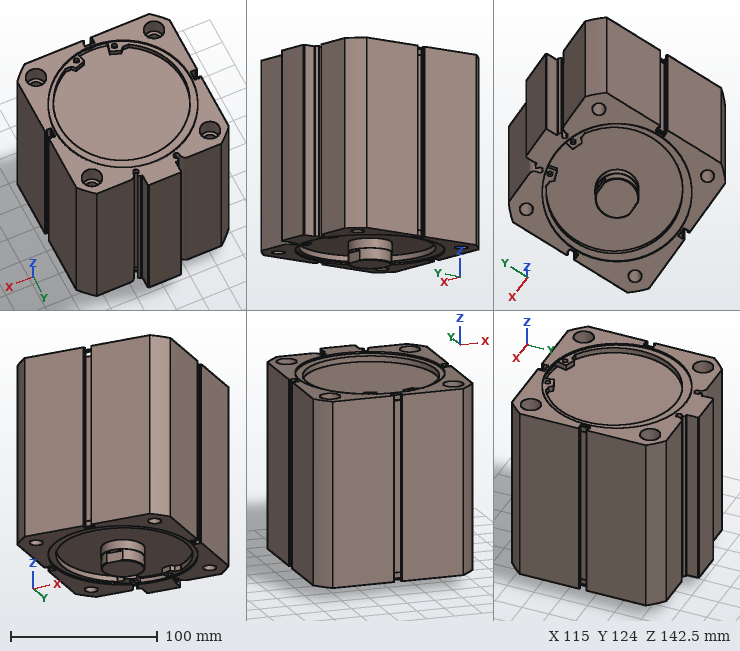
import cadquery as cq
import math


body_width = 115.0
half_width = body_width / 2
body_height = 132.5
corner_flat = 47.0
corner_radius = math.hypot(half_width, corner_flat)
bore_radius = 51.0

bolt_spacing = 89.0
bolt_diameter = 9.0
counterbore_diameter = 14.0
counterbore_depth = 13.0

slot_mouth = 5.0
slot_inner_width = 7.0
slot_depth = 4.8
slot_lip = 1.5
mouth_chamfer = 0.5

rail_half_width = 12.6
rail_top = 66.5
rail_chamfer = 0.7
groove_outer_x = 17.3
groove_bottom_radius = 2.0
groove_center_y = 53.0
groove_shoulder_radius = 4.4

ring_radius = 53.0
ring_inner_radius = 46.6
ring_inner_offset = 2.2
ring_thickness = 4.0
ring_inset = 1.2
ring_hole_radius = 1.8
ring_hole_x = 14.2
ring_hole_y = -45.4
ring_gap_half_width = 24.0
top_ring_turn = -0.9
bottom_ring_turn = 180.0

head_cover_thickness = 12.0
rod_cover_thickness = 25.0
piston_thickness = 30.0
rod_radius = 15.0
rod_projection = 10.0
rod_end_chamfer = 0.5
rod_tip_radius = 14.75
rod_tip_length = 8.4
flat_distance = 13.5

cover_inset = ring_inset + ring_thickness
top_ring_bottom = body_height - cover_inset
head_cover_bottom = top_ring_bottom - head_cover_thickness


def cylinder(radius, bottom, height):
    return cq.Workplane("XY").workplane(offset=bottom).circle(radius).extrude(height)


def slot_cutter(angle):
    """T-slot with a chamfered mouth in the -Y side, turned about Z by angle."""
    floor_y = -half_width + slot_depth
    lip_y = -half_width + slot_lip
    half_mouth = slot_mouth / 2
    half_inner = slot_inner_width / 2
    flared = half_mouth + mouth_chamfer
    outline = [
        (-flared, -half_width),
        (-half_mouth, -half_width + mouth_chamfer),
        (-half_mouth, lip_y),
        (-half_inner, lip_y),
        (-half_inner, floor_y),
        (half_inner, floor_y),
        (half_inner, lip_y),
        (half_mouth, lip_y),
        (half_mouth, -half_width + mouth_chamfer),
        (flared, -half_width),
    ]
    cutter = cq.Workplane("XY").polyline(outline).close().extrude(body_height)
    return cutter.rotate((0, 0, 0), (0, 0, 1), angle)


def rail_groove_cutter():
    """Undercut groove on the -X side of the rail, below a pointed lip."""
    center_x = -groove_outer_x + groove_bottom_radius
    shoulder_x = -groove_outer_x - groove_shoulder_radius
    shoulder_y = half_width - groove_shoulder_radius
    diagonal = math.sqrt(0.5)
    shoulder_mid = (
        shoulder_x + groove_shoulder_radius * diagonal,
        shoulder_y + groove_shoulder_radius * diagonal,
    )
    arc_mid = (
        center_x + groove_bottom_radius * diagonal,
        groove_center_y - groove_bottom_radius * diagonal,
    )
    arc_end = (
        center_x + groove_bottom_radius * diagonal,
        groove_center_y + groove_bottom_radius * diagonal,
    )
    lip_root = (-14.9, 54.9)
    lip_tip = (-15.6, 56.0)
    lip_top = (-13.9, half_width)
    return (
        cq.Workplane("XY")
        .moveTo(shoulder_x, half_width)
        .threePointArc(shoulder_mid, (-groove_outer_x, shoulder_y))
        .lineTo(-groove_outer_x, groove_center_y)
        .threePointArc(arc_mid, arc_end)
        .lineTo(*lip_root)
        .lineTo(*lip_tip)
        .lineTo(*lip_top)
        .close()
        .extrude(body_height)
    )


def make_housing():
    body = cq.Workplane("XY").rect(body_width, body_width).extrude(body_height)
    body = body.intersect(cylinder(corner_radius, 0, body_height))
    rail = (
        cq.Workplane("XY")
        .center(0, rail_top / 2)
        .rect(2 * rail_half_width, rail_top)
        .extrude(body_height)
        .edges("|Z and >Y")
        .chamfer(rail_chamfer)
    )
    body = body.union(rail)

    groove = rail_groove_cutter()
    body = body.cut(groove).cut(groove.mirror("YZ"))
    for angle in (-90, 0, 90):
        body = body.cut(slot_cutter(angle))

    body = body.cut(cylinder(bore_radius, 0, body_height))
    for bottom in (ring_inset, top_ring_bottom):
        body = body.cut(cylinder(ring_radius, bottom, ring_thickness))

    return (
        body.faces(">Z")
        .workplane(origin=(0, 0, body_height))
        .rect(bolt_spacing, bolt_spacing, forConstruction=True)
        .vertices()
        .cboreHole(bolt_diameter, counterbore_diameter, counterbore_depth)
    )


def ring_ear(side):
    """Plier ear at one end of a retaining ring; side is -1 or +1 along X."""
    outline = [
        (26.3, -40.7),
        (23.8, -42.4),
        (19.3, -42.4),
        (16.9, -40.0),
        (9.5, -42.6),
        (11.2, -50.2),
        (11.2, -ring_radius),
        (26.3, -ring_radius),
    ]
    ear = cq.Workplane("XY").polyline([(side * x, y) for x, y in outline]).close().extrude(ring_thickness)
    return ear.intersect(cylinder(ring_radius, 0, ring_thickness))


def make_ring(bottom, turn):
    """Eccentric retaining ring with two drilled ears; its gap faces -Y before the turn about Z."""
    ring = cylinder(ring_radius, 0, ring_thickness)
    opening = cylinder(ring_inner_radius, 0, ring_thickness).translate((0, -ring_inner_offset, 0))
    gap = cq.Workplane("XY").rect(2 * ring_gap_half_width, ring_radius).extrude(ring_thickness)
    gap = gap.translate((0, -ring_radius, 0))
    ring = ring.cut(opening).cut(gap)
    for side in (-1, 1):
        hole = cylinder(ring_hole_radius, 0, ring_thickness).translate((side * ring_hole_x, ring_hole_y, 0))
        ring = ring.union(ring_ear(side)).cut(hole)
    return ring.rotate((0, 0, 0), (0, 0, 1), turn).translate((0, 0, bottom))


def make_head_cover():
    return cylinder(bore_radius, head_cover_bottom, head_cover_thickness)


def make_rod_cover():
    cover = cylinder(bore_radius, cover_inset, rod_cover_thickness)
    return cover.cut(cylinder(rod_radius, cover_inset, rod_cover_thickness))


def make_piston_rod():
    """Piston against the head cover, and a rod with two wrench flats at its tip."""
    tip_top = rod_tip_length - rod_projection
    tip = cylinder(rod_tip_radius, -rod_projection, rod_tip_length)
    tip = tip.faces("<Z").chamfer(rod_end_chamfer)
    flat_run_out = rod_tip_radius - flat_distance
    flat_outline = [
        (flat_distance, -rod_projection),
        (flat_distance, tip_top - flat_run_out),
        (rod_tip_radius, tip_top),
        (rod_tip_radius, -rod_projection),
    ]
    for side in (-1, 1):
        outline = [(side * y, z) for y, z in flat_outline]
        tip = tip.cut(cq.Workplane("YZ").polyline(outline).close().extrude(rod_tip_radius, both=True))
    piston = cylinder(bore_radius, head_cover_bottom - piston_thickness, piston_thickness)
    rod = cylinder(rod_radius, tip_top, head_cover_bottom - tip_top)
    return rod.union(tip).union(piston)


housing = make_housing()
ring_placements = [
    (ring_inset, bottom_ring_turn),
    (top_ring_bottom, top_ring_turn),
]
rings = [make_ring(bottom, turn) for bottom, turn in ring_placements]
head_cover = make_head_cover()
rod_cover = make_rod_cover()
piston_rod = make_piston_rod()

result = cq.Compound.makeCompound(
    [
        housing.val(),
        *[ring.val() for ring in rings],
        head_cover.val(),
        rod_cover.val(),
        piston_rod.val(),
    ]
)